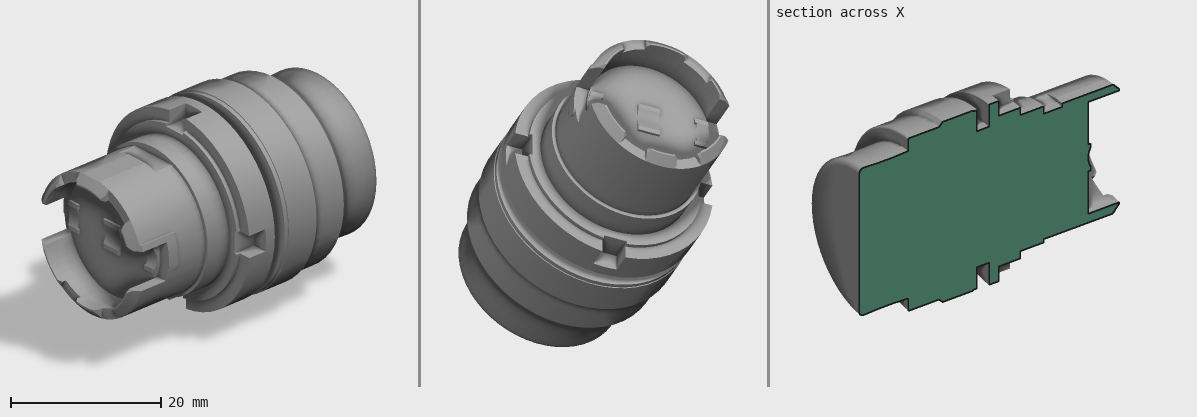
import cadquery as cq
import math

total_length = 41.8

overlap = 0.4

cap_radius = 11.8
cap_waist_radius = 11.65
cap_start = 33.95
cap_fillet = 0.8

collar_radius = 13.8
collar_start = 28.97
collar_fillet = 0.3
bezel_radius = 28.8 / 2
bezel_start = 22.83
bezel_lip_radius = 28.5 / 2
bezel_lip_height = 0.63
bezel_chamfer = 0.6

neck_radius = 21.8 / 2
neck_start = 12.12
nut_radius = bezel_radius
nut_start = 16.47
nut_end = 20.95
nut_step_radius = 12.6
nut_step_height = 0.6
nut_slot_width = 3.35
nut_slot_end = 19.35
nut_slot_floor_radius = 12.05

barrel_radius = 10.35
bore_radius = 8.85
bore_floor = 4.98
deep_flat_height = 9.7
deep_flat_start = 9.2
long_flat_height = 10.25

window_half_height = 2.95
window_floor = 5.5
rib_radius = 10.58
rib_top = 3.8
rib_end = 7.1
rib_hook_bottom = -1.3
rib_hook_shoulder = -0.65

tab_height = 1.1
tip_radius = 9.1
tab_end_chamfer = 0.45
top_tab_left = -2.2
top_tab_right = 3.45
bottom_tab_half_width = 2.17
upper_right_end = (39.8, 41.7)
upper_left_end = (127.2, 125.9)
lower_left_end = (235.0, 235.0)
lower_right_end = (305.0, 305.0)

seat_half_height = 2.17
seat_ledge_height = 0.65
seat_rise = 0.38
seat_half_width = 1.55
seat_outer_radius = 8.75
seat_top = bore_floor - seat_rise
ledge_inner = seat_half_height - seat_ledge_height
side_ledge_inner = 6.65
side_trough_inner = 6.9


def disc(radius, start, end):
    """Solid cylinder about the Y axis."""
    return cq.Workplane("XZ", origin=(0, start, 0)).circle(radius).extrude(start - end)


def block(x_range, y_range, z_range):
    """Box spanning the given ranges."""
    lows, highs = zip(x_range, y_range, z_range)
    sizes = [high - low for low, high in zip(lows, highs)]
    return cq.Workplane("XY").box(*sizes, centered=False).translate(lows)


def make_upper_body():
    """Cap, collar, bezel and neck as one turned profile (radius, Y)."""
    cap_middle = (cap_start + total_length - cap_fillet) / 2
    fillet_offset = cap_fillet * (1 - math.sqrt(0.5))
    return (
        cq.Workplane("XY")
        .moveTo(0, neck_start)
        .lineTo(neck_radius, neck_start)
        .lineTo(neck_radius, bezel_start)
        .lineTo(bezel_lip_radius, bezel_start)
        .lineTo(bezel_lip_radius, bezel_start + bezel_lip_height)
        .lineTo(bezel_radius, bezel_start + bezel_lip_height)
        .lineTo(bezel_radius, collar_start - bezel_chamfer)
        .lineTo(collar_radius, collar_start)
        .lineTo(collar_radius, cap_start - collar_fillet)
        .radiusArc((collar_radius - collar_fillet, cap_start), -collar_fillet)
        .lineTo(cap_radius, cap_start)
        .threePointArc((cap_waist_radius, cap_middle), (cap_radius, total_length - cap_fillet))
        .threePointArc(
            (cap_radius - fillet_offset, total_length - fillet_offset),
            (cap_radius - cap_fillet, total_length),
        )
        .lineTo(0, total_length)
        .close()
        .revolve(360, (0, 0, 0), (0, 1, 0))
    )


def make_nut():
    """Ring nut with a stepped face and four spanner slots."""
    step_start = nut_start - nut_step_height
    nut = disc(nut_radius, nut_start, nut_end).union(disc(nut_step_radius, step_start, nut_start))
    half_slot = nut_slot_width / 2
    slot = block(
        (nut_slot_floor_radius, nut_radius + overlap),
        (step_start - overlap, nut_slot_end),
        (-half_slot, half_slot),
    )
    for turn in range(4):
        nut = nut.cut(slot.rotate((0, 0, 0), (0, 1, 0), 90 * turn))
    return nut


def make_barrel():
    """Barrel with its key flats."""
    top = barrel_radius + overlap
    side = (-barrel_radius, barrel_radius)
    barrel = disc(barrel_radius, 0, neck_start)
    barrel = barrel.cut(block(side, (deep_flat_start, neck_start), (deep_flat_height, top)))
    return barrel.cut(block(side, (0, deep_flat_start), (long_flat_height, top)))


def make_ribs():
    """L-shaped raised ribs beside the windows, hooked round at their lower end."""
    outline = (
        cq.Workplane("YZ", origin=(-rib_radius, 0, 0))
        .moveTo(0, rib_top)
        .lineTo(rib_end, rib_top)
        .lineTo(rib_end, rib_hook_shoulder)
        .threePointArc(
            ((rib_end + window_floor) / 2, rib_hook_bottom),
            (window_floor, rib_hook_shoulder),
        )
        .lineTo(window_floor, window_half_height)
        .lineTo(0, window_half_height)
        .close()
        .extrude(2 * rib_radius)
    )
    return outline.intersect(disc(rib_radius, 0, rib_end))


def make_tip_cone():
    """Envelope that bevels the outside of the barrel and ribs towards the tips."""
    slope = (barrel_radius - tip_radius) / tab_height
    large_radius = rib_radius + overlap
    cone_end = (large_radius - tip_radius) / slope
    return (
        cq.Workplane("XY")
        .polyline([
            (0, 0), (tip_radius, 0), (large_radius, cone_end),
            (large_radius, neck_start), (0, neck_start),
        ])
        .close()
        .revolve(360, (0, 0, 0), (0, 1, 0))
    )


def chamfered_cutter(points, depth):
    """Cutter from the tips down to depth, widened by the tab end chamfers at its mouth."""
    shaft = cq.Workplane("XZ").polyline(points).close().extrude(-depth)
    mouth = (
        cq.Workplane("XZ", origin=(0, tab_end_chamfer, 0))
        .polyline(points)
        .close()
        .extrude(tab_end_chamfer, taper=-45)
    )
    return shaft.union(mouth)


def angled_line(angles):
    """Inner and outer ends of a tab end line, reaching past both faces of the rim wall."""
    inner, outer = (
        cq.Vector(radius * math.cos(math.radians(angle)), radius * math.sin(math.radians(angle)))
        for radius, angle in zip((bore_radius, barrel_radius), angles)
    )
    overrun = (outer - inner) * 0.5
    return (inner - overrun).toTuple()[:2], (outer + overrun).toTuple()[:2]


def upright_line(x, side):
    """Tab end line parallel to Z, above (side = 1) or below (side = -1) the axis."""
    return (x, side * (bore_radius - 3 * overlap)), (x, side * (barrel_radius + 2 * overlap))


def rim_cutters():
    """Gaps between the tabs, and the windows in the left and right sides."""
    gaps = [
        (angled_line(upper_right_end), upright_line(top_tab_right, 1)),
        (upright_line(top_tab_left, 1), angled_line(upper_left_end)),
        (angled_line(lower_left_end), upright_line(-bottom_tab_half_width, -1)),
        (upright_line(bottom_tab_half_width, -1), angled_line(lower_right_end)),
    ]
    cutters = [
        chamfered_cutter([first[0], first[1], second[1], second[0]], tab_height)
        for first, second in gaps
    ]
    reach = rib_radius + overlap
    window = [
        (-reach, -window_half_height), (reach, -window_half_height),
        (reach, window_half_height), (-reach, window_half_height),
    ]
    cutters.append(chamfered_cutter(window, window_floor))
    return cutters


def make_seat(ledge_range, trough_range):
    """Contact seat: two ledges with a hollow cylindrical trough between them."""
    heights = (seat_top, bore_floor)
    seat = block(ledge_range, heights, (ledge_inner, seat_half_height))
    seat = seat.union(block(ledge_range, heights, (-seat_half_height, -ledge_inner)))
    return seat.union(block(trough_range, heights, (-ledge_inner, ledge_inner)))


def make_trough(trough_range):
    """Cutter for the hollow of one contact seat, just touching the bore floor."""
    return (
        cq.Workplane("YZ", origin=(trough_range[0], 0, 0))
        .moveTo(seat_top, -ledge_inner)
        .threePointArc((bore_floor, 0), (seat_top, ledge_inner))
        .close()
        .extrude(trough_range[1] - trough_range[0])
    )


lower_body = make_barrel().union(make_ribs()).intersect(make_tip_cone())
lower_body = lower_body.cut(disc(bore_radius, 0, window_floor))
for cutter in rim_cutters():
    lower_body = lower_body.cut(cutter)
lower_body = lower_body.union(disc(bore_radius, bore_floor, neck_start))

center_range = (-seat_half_width, seat_half_width)
seats = [
    (center_range, center_range),
    ((side_ledge_inner, seat_outer_radius), (side_trough_inner, seat_outer_radius)),
    ((-seat_outer_radius, -side_ledge_inner), (-seat_outer_radius, -side_trough_inner)),
]
seat_envelope = disc(seat_outer_radius, 0, bore_floor)
for ledge_range, trough_range in seats:
    lower_body = lower_body.union(make_seat(ledge_range, trough_range).intersect(seat_envelope))
    lower_body = lower_body.cut(make_trough(trough_range))

result = make_upper_body().union(make_nut()).union(lower_body)